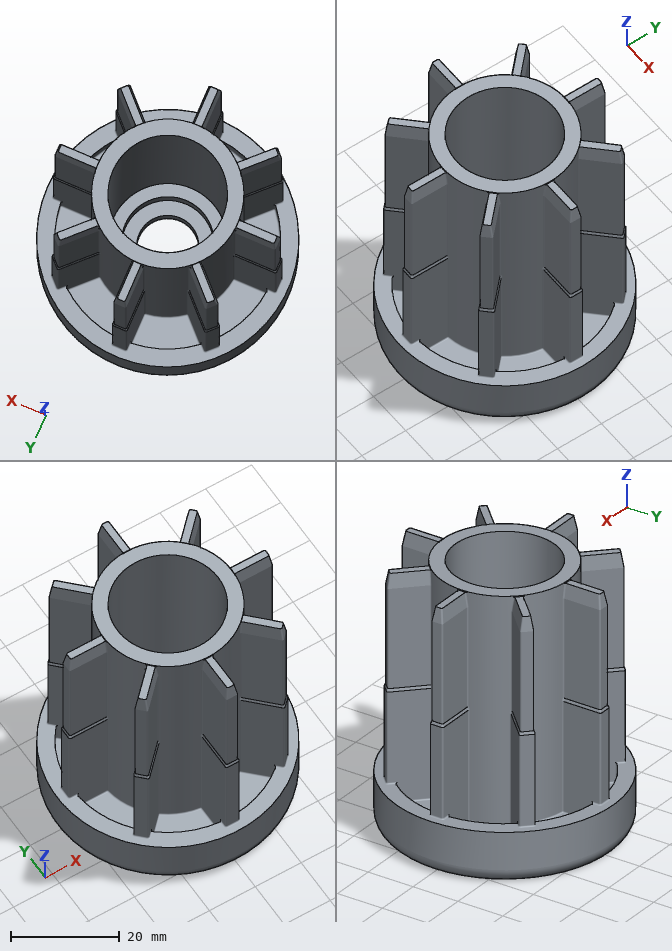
import cadquery as cq
import math

total_height = 55.0

cap_radius = 24.15
cap_height = 11.0
cap_bottom_fillet = 3.0

pocket_floor_z = 7.0
rim_inner_radius = 20.8

tube_radius = 14.0
bore_radius = 11.0
bore_floor_z = pocket_floor_z
counterbore_radius = 8.5
counterbore_floor_z = 3.3
through_hole_radius = 5.7

rib_count = 8
rib_start_radius = 12.1
rib_tip_radius = 22.4
rib_half_thickness = 1.5
rib_step_inset = 0.2
rib_step_bottom_z = 30.3
rib_step_top_z = 30.9
lead_in_inset = 0.5
lead_in_height = 3.0
rib_top_drop = 0.2
rib_top_z = total_height - rib_top_drop
rib_edge_radius = 0.35

root_fillet = 0.3

tolerance = 0.005


def make_body():
    """Cap and tube as one turned body, before boring."""
    cap = cq.Workplane("XY").circle(cap_radius).extrude(cap_height)
    cap = cap.faces("<Z").edges().fillet(cap_bottom_fillet)
    pocket = (
        cq.Workplane("XY")
        .workplane(offset=pocket_floor_z)
        .circle(rim_inner_radius)
        .extrude(cap_height - pocket_floor_z)
    )
    tube = cq.Workplane("XY").circle(tube_radius).extrude(total_height)
    return cap.cut(pocket).union(tube)


def rib_section(z, inset):
    """Outline of the rib at height z, with sides and tip moved in by inset."""
    half_thickness = rib_half_thickness - inset
    tip = rib_tip_radius - inset
    return (
        cq.Sketch()
        .push([((rib_start_radius + tip) / 2, 0)])
        .rect(tip - rib_start_radius, 2 * half_thickness)
        .reset()
        .vertices(">X")
        .fillet(rib_edge_radius)
        .moved(cq.Location(cq.Vector(0, 0, z)))
    )


def make_rib():
    """One rib along +X, stacked from straight and tapering lengths."""
    upper_inset = rib_step_inset
    top_inset = upper_inset + lead_in_inset
    stations = [
        (pocket_floor_z, 0),
        (rib_step_bottom_z, 0),
        (rib_step_top_z, upper_inset),
        (rib_top_z - lead_in_height, upper_inset),
        (rib_top_z, top_inset),
    ]
    rib = cq.Workplane("XY")
    for lower, upper in zip(stations, stations[1:]):
        sections = cq.Workplane("XY").placeSketch(rib_section(*lower), rib_section(*upper))
        rib = rib.union(sections.loft(ruled=True))
    return rib


def add_ribs(body):
    rib = make_rib()
    for index in range(rib_count):
        body = body.union(rib.rotate((0, 0, 0), (0, 0, 1), index * 360 / rib_count))
    return body


def radius_of(point):
    """Distance of a point from the part's axis."""
    return math.hypot(point.X, point.Y)


def on_cylinder(edge, radius):
    """True when the ends of the edge are at this distance from the axis."""
    return all(abs(radius_of(v) - radius) < tolerance for v in edge.Vertices())


def on_level(edge, z):
    """True when the ends of the edge are at height z."""
    return all(abs(v.Z - z) < tolerance for v in edge.Vertices())


def is_inner_corner(edge):
    """True for the concave edges around the ribs and the pocket."""
    on_floor = on_level(edge, pocket_floor_z)
    beside_rib = not (on_level(edge, rib_top_z) or on_level(edge, total_height))
    rib_to_tube = on_cylinder(edge, tube_radius) and beside_rib
    on_rim_wall = on_cylinder(edge, rim_inner_radius)
    rib_to_rim_wall = on_rim_wall and edge.geomType() == "LINE"
    on_cap_outline = on_cylinder(edge, cap_radius)
    rib_to_rim_top = on_level(edge, cap_height) and not (on_rim_wall or on_cap_outline)
    return on_floor or rib_to_tube or rib_to_rim_wall or rib_to_rim_top


def fillet_inner_corners(body):
    return body.edges().filter(is_inner_corner).fillet(root_fillet)


def cut_bore(body):
    for floor_z, radius in (
        (bore_floor_z, bore_radius),
        (counterbore_floor_z, counterbore_radius),
        (0, through_hole_radius),
    ):
        drill = cq.Workplane("XY").workplane(offset=floor_z).circle(radius).extrude(total_height)
        body = body.cut(drill)
    return body


body = make_body()
body = add_ribs(body)
body = fillet_inner_corners(body)
result = cut_bore(body)